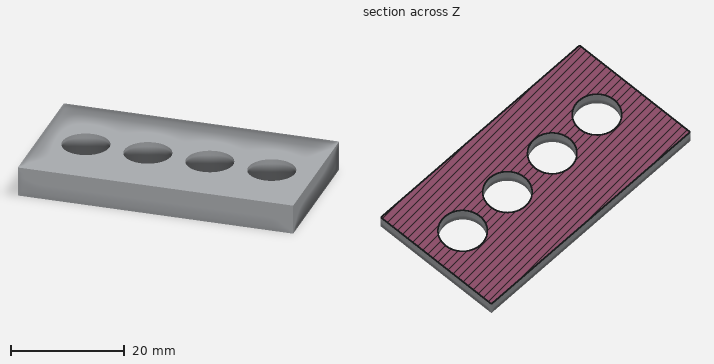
import cadquery as cq

length = 50.8
width = 26.9
thickness = 5.5

hole_diameter = 8.65
hole_count = 4
hole_pitch = 11.45
first_hole_from_left = 8.65
row_offset_y = -1.0

first_hole_x = first_hole_from_left - length / 2
hole_centers = [(first_hole_x + i * hole_pitch, row_offset_y) for i in range(hole_count)]

plate = cq.Workplane("XY").box(length, width, thickness)

result = plate.faces(">Z").workplane(origin=(0, 0, 0)).pushPoints(hole_centers).hole(hole_diameter)